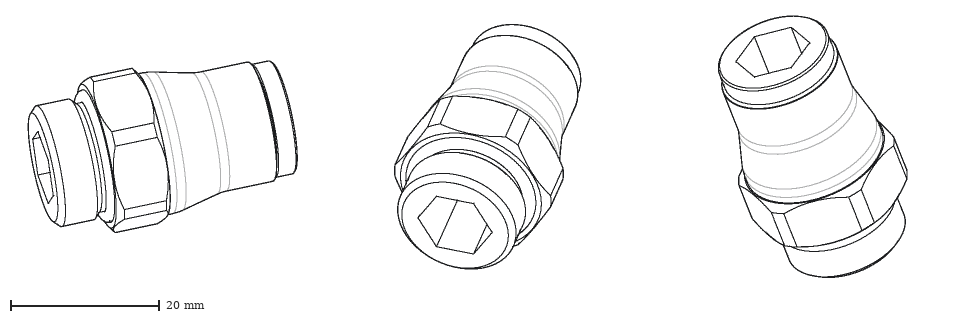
import cadquery as cq
import math


total_length = 33.5
thread_end = 6.15
nut_start = 7.5
nut_end = 15.08
collar_end = 16.05
cone_start = 17.4
cone_end = 22.55
sleeve_start = 23.85
sleeve_end = 30.45
button_start = 30.82

thread_radius = 8.35
thread_bevel = 0.85
neck_radius = thread_radius - thread_bevel
sleeve_radius = 8.25
sleeve_bevel = 0.07
button_neck_radius = 6.97
button_radius = 7.8
button_bevel = 0.27

cone_angle = math.radians(13.0)
blend_slope = math.tan(cone_angle / 2)
cone_small_radius = sleeve_radius + blend_slope * (sleeve_start - cone_end)
cone_large_radius = cone_small_radius + math.tan(cone_angle) * (cone_end - cone_start)
collar_radius = cone_large_radius + blend_slope * (cone_start - collar_end)

nut_across_flats = 20.0
nut_corner_radius = 11.005
nut_face_radius = 9.9
nut_bevel_length = 0.85

ring_section_radius = 0.9
ring_center_radius = 8.25

bore_across_flats = 9.05


def hexagon(across_flats, start, end):
    """Hexagonal prism along Y, with corners on X and flats facing Z."""
    corner_diameter = across_flats / math.cos(math.pi / 6)
    return (
        cq.Workplane("XZ", origin=(0, start, 0))
        .polygon(6, corner_diameter)
        .extrude(start - end)
    )


def spin(profile):
    """Revolve a profile in the XY plane about the Y axis."""
    return profile.close().revolve(360, (0, 0, 0), (0, 1, 0))


def turned_body():
    profile = (
        cq.Workplane("XY")
        .lineTo(thread_radius - thread_bevel, 0)
        .lineTo(thread_radius, thread_bevel)
        .lineTo(thread_radius, thread_end - thread_bevel)
        .lineTo(neck_radius, thread_end)
        .lineTo(neck_radius, nut_end)
        .lineTo(collar_radius, nut_end)
        .lineTo(collar_radius, collar_end)
        .tangentArcPoint((cone_large_radius, cone_start), relative=False)
        .lineTo(cone_small_radius, cone_end)
        .tangentArcPoint((sleeve_radius, sleeve_start), relative=False)
        .lineTo(sleeve_radius, sleeve_end - sleeve_bevel)
        .lineTo(sleeve_radius - sleeve_bevel, sleeve_end)
        .lineTo(button_neck_radius, sleeve_end)
        .lineTo(button_neck_radius, button_start)
        .lineTo(button_radius, button_start)
        .lineTo(button_radius, total_length - button_bevel)
        .lineTo(button_radius - button_bevel, total_length)
        .lineTo(0, total_length)
    )
    return spin(profile)


def nut():
    """Hexagon with rounded corners and both ends beveled."""
    envelope = spin(
        cq.Workplane("XY")
        .moveTo(0, nut_start)
        .lineTo(nut_face_radius, nut_start)
        .lineTo(nut_corner_radius, nut_start + nut_bevel_length)
        .lineTo(nut_corner_radius, nut_end - nut_bevel_length)
        .lineTo(nut_face_radius, nut_end)
        .lineTo(0, nut_end)
    )
    return hexagon(nut_across_flats, nut_start, nut_end).intersect(envelope)


def sealing_ring():
    return cq.Workplane(
        cq.Solid.makeTorus(
            ring_center_radius,
            ring_section_radius,
            cq.Vector(0, nut_start, 0),
            cq.Vector(0, 1, 0),
        )
    )


bore = hexagon(bore_across_flats, 0, total_length)
result = turned_body().union(nut()).union(sealing_ring()).cut(bore)